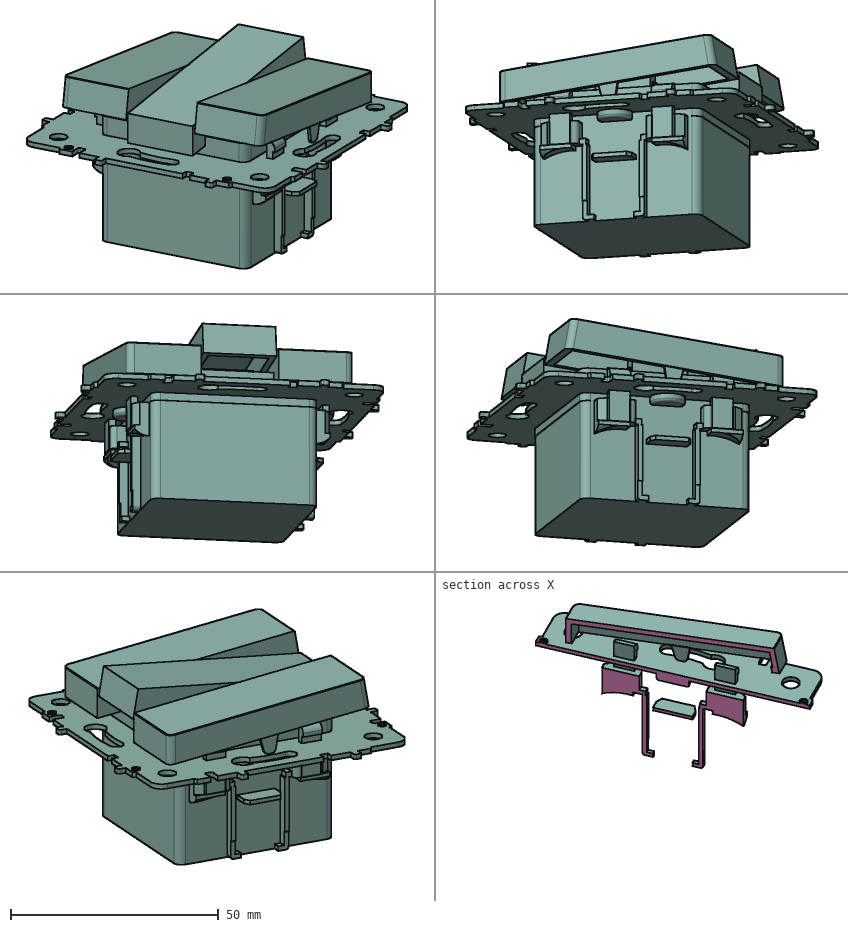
import cadquery as cq
import math

PLATE_SPAN = 74.4
PLATE_BOTTOM = 26.1
PLATE_TOP = 27.4
PLATE_CORE_HALF = 34.3
PLATE_CORNER_R = 3.0
EDGE_HALF = 35.1
EDGE_STRIP_HALF = 23.95
EDGE_STRIP_RAMP = 0.45
TAB_WIDTH = 2.0
TAB_OUTER = 19.0
TAB_INNER = 11.7
TAB_ROUND = 0.45
DEEP_NOTCH = 3.1
SHALLOW_NOTCH = 1.7

SLOT_RADIUS = 29.9
SLOT_WIDTH = 3.7
SLOT_END_ANGLE = 8.3
KEYHOLE_ANGLE = 15.2
KEYHOLE_R = 2.75
CORNER_HOLE_AT = 27.9
CORNER_HOLE_R = 2.15

SCREW_X = 21.95
SCREW_Y = 33.3
SCREW_R = 1.05
SCREW_HEIGHT = 0.2
SCREW_SLOT_WIDTH = 0.3

BOX_HALF_X = 20.4
BOX_HALF_Y = 21.3
BOX_TOP = 32.2
BOX_CORNER_R = 2.1
BOX_SEAM_Z = 24.2
BOX_SEAM_STEP = 0.1

ROCKER_LOW_Y = 27.45
ROCKER_LOW_BOTTOM = 29.2
ROCKER_LOW_TOP = 36.75
ROCKER_HIGH_TOP_Y = 26.05
ROCKER_HIGH_TOP = 42.5
ROCKER_HIGH_BOTTOM_Y = 27.4
ROCKER_HIGH_BOTTOM = 35.0
ROCKER_WALL = 1.55
HOLLOW_DROP = 2.3
ROCKER_CORNER_R = 1.7
ROCKER_EDGE = 0.15
MIDDLE_HALF_X = 9.0
SIDE_INNER_X = 9.5
SIDE_OUTER_X = 27.75
WALL_NOTCH_HALF_Y = 11.15
WALL_NOTCH_TOP = 34.3

POST_INNER_X = 9.1
POST_OUTER_X = 15.0
POST_HALF_Y = 6.9
POST_SHOULDER = 34.8
POST_TOP = 37.95
PIN_X = 12.35
PIN_WIDTH = 2.2
PIN_LEDGE = 33.5
PIN_REACH = 0.45
PIN_FOOT_REACH = 0.9
AXLE_TOP = 35.65
AXLE_HALF_Y = 7.3

TOOTH_OUTER_X = 27.15
TOOTH_THICKNESS = 0.7
TOOTH_TOP_HALF = 2.6
TOOTH_LOW_FLANK_Y = 1.35
TOOTH_HIGH_FLANK_Y = 1.85
TOOTH_TIP_Z = 28.3
TOOTH_SINK = 0.15

CLAW_Y = 12.95
LEG_WIDTH = 5.2
LEG_INNER_X = 22.7
LEG_OUTER_X = 24.4
LEG_BOTTOM = 18.6
HOOK_TOP = 31.85
HOOK_TIP_X = 25.0
HOOK_TIP_Z = 29.2
HOOK_BEND_Z = 30.2
CLAW_BLOCK_NEAR_Y = 8.55
CLAW_BLOCK_FAR_Y = 18.15
CLAW_BLOCK_TOP = 24.2
CLAW_BLOCK_OUTER_X = 24.25
CLAW_BLOCK_ROUND = 1.4
CLAW_CHAMFER_X = 1.5
CLAW_CHAMFER_Y = 2.1
CUP_NEAR_Y = 10.2
CUP_NEAR_BOTTOM = 17.55
CUP_FAR_BOTTOM = 16.0
CUP_OUTER_X = 24.0
CUP_BULGE_X = 22.8
CUP_BULGE_Z = 16.5

BOSS_X = 21.3
BOSS_R = 4.25
BOSS_BOTTOM = 24.2
BOSS_ROUND = 0.75

RIB_NEAR_Y = 6.6
RIB_FAR_Y = 7.8
RIB_HEAD_FAR_Y = 8.6
RIB_HEAD_NEAR_Y = 6.9
RIB_HEAD_BOTTOM = 18.6
RIB_TOP = 19.95
RIB_X = 22.6
RIB_STEP_X = 22.3
RIB_STEP_Z = 4.7
FOOT_NEAR_Y = 5.05
FOOT_HEIGHT = 1.2
FOOT_ROUND = 0.75

TERMINAL_HALF_Y = 5.05
TERMINAL_TIP_HALF_Y = 4.2
TERMINAL_X = 25.3
TERMINAL_CHAMFER_X = 23.65
TERMINAL_BOTTOM = 14.4
TERMINAL_TOP = 15.5

INSET = 0.75


def block(x0, x1, y0, y1, z0, z1):
    """Box given by its limits along each axis."""
    return cq.Workplane("XY").box(x1 - x0, y1 - y0, z1 - z0, centered=False).translate((x0, y0, z0))


def four_turns(shape):
    """The four copies of a shape, a quarter turn apart about Z."""
    return [shape.rotate((0, 0, 0), (0, 0, 1), 90 * turn) for turn in range(4)]


def mirrored(shape, plane):
    """A shape together with its mirror image."""
    return shape.union(shape.mirror(plane))


def edge_strip():
    """Raised strip along the +Y edge, with ramped ends."""
    return (
        cq.Workplane("XY", origin=(0, 0, PLATE_BOTTOM))
        .polyline([
            (-EDGE_STRIP_HALF, PLATE_CORE_HALF - INSET),
            (-EDGE_STRIP_HALF, PLATE_CORE_HALF),
            (-EDGE_STRIP_HALF + EDGE_STRIP_RAMP, EDGE_HALF),
            (EDGE_STRIP_HALF - EDGE_STRIP_RAMP, EDGE_HALF),
            (EDGE_STRIP_HALF, PLATE_CORE_HALF),
            (EDGE_STRIP_HALF, PLATE_CORE_HALF - INSET),
        ])
        .close()
        .extrude(PLATE_TOP - PLATE_BOTTOM)
    )


def edge_tab(x):
    """Rounded tab standing out of the +Y edge."""
    half = TAB_WIDTH / 2
    tab = block(x - half, x + half, EDGE_HALF - INSET, PLATE_SPAN / 2, PLATE_BOTTOM, PLATE_TOP)
    return tab.edges("|Z and >Y").fillet(TAB_ROUND)


def edge_notch(x, depth):
    """Cutter for a notch in the +Y edge."""
    half = TAB_WIDTH / 2
    return block(x - half, x + half, EDGE_HALF - depth, PLATE_SPAN / 2, PLATE_BOTTOM, PLATE_TOP)


def on_slot_circle(angle, radius=SLOT_RADIUS):
    """Point on a circle about Z, at an angle from +Y towards +X."""
    return radius * math.sin(math.radians(angle)), radius * math.cos(math.radians(angle))


def curved_slot():
    """Cutter for the curved slot near the +Y edge, ending in a wider round hole."""
    inner = SLOT_RADIUS - SLOT_WIDTH / 2
    outer = SLOT_RADIUS + SLOT_WIDTH / 2
    depth = PLATE_TOP - PLATE_BOTTOM
    base = cq.Workplane("XY", origin=(0, 0, PLATE_BOTTOM))
    arc_slot = (
        base.moveTo(*on_slot_circle(-SLOT_END_ANGLE, inner))
        .threePointArc((0, inner), on_slot_circle(KEYHOLE_ANGLE, inner))
        .lineTo(*on_slot_circle(KEYHOLE_ANGLE, outer))
        .threePointArc((0, outer), on_slot_circle(-SLOT_END_ANGLE, outer))
        .close()
        .extrude(depth)
    )
    round_end = base.center(*on_slot_circle(-SLOT_END_ANGLE)).circle(SLOT_WIDTH / 2).extrude(depth)
    keyhole = base.center(*on_slot_circle(KEYHOLE_ANGLE)).circle(KEYHOLE_R).extrude(depth)
    return arc_slot.union(round_end).union(keyhole)


def mounting_plate():
    half = PLATE_CORE_HALF
    plate = block(-half, half, -half, half, PLATE_BOTTOM, PLATE_TOP).edges("|Z").fillet(PLATE_CORNER_R)
    corner_hole = (
        cq.Workplane("XY", origin=(CORNER_HOLE_AT, CORNER_HOLE_AT, PLATE_BOTTOM))
        .circle(CORNER_HOLE_R)
        .extrude(PLATE_TOP - PLATE_BOTTOM)
    )
    for piece in (edge_strip(), edge_tab(-TAB_OUTER), edge_tab(TAB_INNER)):
        for copy in four_turns(piece):
            plate = plate.union(copy)
    shallow_notch = edge_notch(-TAB_INNER, SHALLOW_NOTCH)
    deep_notch = edge_notch(TAB_OUTER, DEEP_NOTCH).edges("|Z and <Y").fillet(TAB_ROUND)
    for cutter in (shallow_notch, deep_notch, curved_slot(), corner_hole):
        for copy in four_turns(cutter):
            plate = plate.cut(copy)
    return plate


def plate_screws():
    """Four small slotted screw heads on the plate."""
    spots = [(sx * SCREW_X, sy * SCREW_Y) for sx in (-1, 1) for sy in (-1, 1)]
    base = cq.Workplane("XY", origin=(0, 0, PLATE_TOP)).pushPoints(spots)
    heads = base.circle(SCREW_R).extrude(SCREW_HEIGHT)
    slots = base.rect(SCREW_SLOT_WIDTH, 2 * SCREW_R).extrude(SCREW_HEIGHT)
    return heads.cut(slots)


def box_part(half_y, z0, z1):
    """Round-cornered part of the box."""
    return block(-BOX_HALF_X, BOX_HALF_X, -half_y, half_y, z0, z1).edges("|Z").fillet(BOX_CORNER_R)


def switch_box():
    """Box body below the seam and slightly longer cover above it."""
    body = box_part(BOX_HALF_Y - BOX_SEAM_STEP, 0, BOX_SEAM_Z)
    return body.union(box_part(BOX_HALF_Y, BOX_SEAM_Z, BOX_TOP))


def rocker_profile(x):
    """Side outline of a rocker with its high end at -Y."""
    return (
        cq.Workplane("YZ", origin=(x, 0, 0))
        .polyline([
            (ROCKER_LOW_Y, ROCKER_LOW_BOTTOM),
            (ROCKER_LOW_Y, ROCKER_LOW_TOP),
            (-ROCKER_HIGH_TOP_Y, ROCKER_HIGH_TOP),
            (-ROCKER_HIGH_BOTTOM_Y, ROCKER_HIGH_BOTTOM),
        ])
        .close()
    )


def hollow(rocker, x0, x1):
    """Open a rocker from below, leaving its walls, and notch the walls above the box."""
    width = x1 - x0 - 2 * ROCKER_WALL
    core = rocker_profile(x0 + ROCKER_WALL).offset2D(-ROCKER_WALL, "intersection").extrude(width)
    notch = block(
        -POST_OUTER_X, POST_OUTER_X, -WALL_NOTCH_HALF_Y, WALL_NOTCH_HALF_Y, PLATE_TOP, WALL_NOTCH_TOP
    )
    opening = core.translate((0, 0, -HOLLOW_DROP))
    return rocker.cut(core).cut(opening).cut(notch)


def side_rocker():
    """Rocker on the +X side, with rounded outer corners and a softened top edge."""
    body = rocker_profile(SIDE_INNER_X).extrude(SIDE_OUTER_X - SIDE_INNER_X)
    body = body.faces(">X").edges("<Y or >Y").fillet(ROCKER_CORNER_R)
    body = body.faces(">Z").edges("not <X").chamfer(ROCKER_EDGE)
    return hollow(body, SIDE_INNER_X, SIDE_OUTER_X)


def middle_rocker():
    """Plain middle rocker, tilted the other way."""
    body = rocker_profile(-MIDDLE_HALF_X).extrude(2 * MIDDLE_HALF_X)
    return hollow(body, -MIDDLE_HALF_X, MIDDLE_HALF_X).mirror("XZ")


def side_pivot():
    """Post on the box that carries the +X rocker, with a stepped pin at each end."""
    shoulder = block(POST_INNER_X, POST_OUTER_X, -POST_HALF_Y, POST_HALF_Y, BOX_TOP - INSET, POST_SHOULDER)
    post = block(
        SIDE_INNER_X + ROCKER_WALL, POST_OUTER_X, -POST_HALF_Y, POST_HALF_Y, BOX_TOP, POST_TOP
    )
    pin_inner = PIN_X - PIN_WIDTH / 2
    pin_outer = PIN_X + PIN_WIDTH / 2
    pin_end = POST_HALF_Y + PIN_REACH
    foot_end = POST_HALF_Y + PIN_FOOT_REACH
    pin = block(pin_inner, pin_outer, -pin_end, pin_end, BOX_TOP, POST_SHOULDER)
    foot = block(pin_inner, pin_outer, -foot_end, foot_end, BOX_TOP - INSET, PIN_LEDGE)
    return shoulder.union(post).union(pin).union(foot)


def axle():
    """Bar across the gaps that joins the three rockers."""
    half_x = SIDE_INNER_X + ROCKER_WALL
    return block(-half_x, half_x, -AXLE_HALF_Y, AXLE_HALF_Y, WALL_NOTCH_TOP, AXLE_TOP)


def rocker_tooth():
    """Flat tapered tooth from the lower edge of the +X rocker to the plate."""
    top = (ROCKER_LOW_BOTTOM + ROCKER_HIGH_BOTTOM) / 2 + INSET
    return (
        cq.Workplane("YZ", origin=(TOOTH_OUTER_X - TOOTH_THICKNESS, 0, 0))
        .moveTo(-TOOTH_TOP_HALF, top)
        .lineTo(-TOOTH_HIGH_FLANK_Y, TOOTH_TIP_Z)
        .threePointArc((0, PLATE_TOP - TOOTH_SINK), (TOOTH_LOW_FLANK_Y, TOOTH_TIP_Z))
        .lineTo(TOOTH_TOP_HALF, top)
        .close()
        .extrude(TOOTH_THICKNESS)
    )


def claw():
    """Fixing claw at +X, +Y: hooked leg, guide block and curved cup below it."""
    hook_mid_x = LEG_INNER_X + (HOOK_TIP_X - LEG_INNER_X) * math.sqrt(0.5)
    hook_mid_z = HOOK_BEND_Z + (HOOK_TOP - HOOK_BEND_Z) * math.sqrt(0.5)
    leg = (
        cq.Workplane("XZ", origin=(0, CLAW_Y + LEG_WIDTH / 2, 0))
        .moveTo(LEG_INNER_X, LEG_BOTTOM)
        .lineTo(LEG_INNER_X, HOOK_TOP)
        .threePointArc((hook_mid_x, hook_mid_z), (HOOK_TIP_X, HOOK_BEND_Z))
        .lineTo(HOOK_TIP_X, HOOK_TIP_Z)
        .lineTo(LEG_OUTER_X, HOOK_TIP_Z)
        .lineTo(LEG_OUTER_X, LEG_BOTTOM)
        .close()
        .extrude(LEG_WIDTH)
    )
    inner_x = BOX_HALF_X - INSET
    guide = block(
        inner_x, CLAW_BLOCK_OUTER_X, CLAW_BLOCK_NEAR_Y, CLAW_BLOCK_FAR_Y, LEG_BOTTOM, CLAW_BLOCK_TOP
    )
    guide = guide.edges("|Z and >X and <Y").fillet(CLAW_BLOCK_ROUND)
    bevel = (
        cq.Workplane("XY", origin=(CLAW_BLOCK_OUTER_X, CLAW_BLOCK_FAR_Y, LEG_BOTTOM))
        .polyline([(0, 0), (-CLAW_CHAMFER_X, 0), (0, -CLAW_CHAMFER_Y)])
        .close()
        .extrude(CLAW_BLOCK_TOP - LEG_BOTTOM)
    )
    guide = guide.cut(bevel)
    cup_side = (
        cq.Workplane("XZ", origin=(0, CLAW_BLOCK_FAR_Y, 0))
        .moveTo(inner_x, LEG_BOTTOM)
        .lineTo(CUP_OUTER_X, LEG_BOTTOM)
        .lineTo(CUP_OUTER_X, CUP_NEAR_BOTTOM)
        .threePointArc((CUP_BULGE_X, CUP_BULGE_Z), (BOX_HALF_X, CUP_FAR_BOTTOM))
        .lineTo(inner_x, CUP_FAR_BOTTOM)
        .close()
        .extrude(CLAW_BLOCK_FAR_Y - CUP_NEAR_Y)
    )
    cup = (
        cq.Workplane("YZ", origin=(inner_x, 0, 0))
        .moveTo(CUP_NEAR_Y, LEG_BOTTOM)
        .lineTo(CUP_NEAR_Y, CUP_NEAR_BOTTOM)
        .threePointArc((CLAW_Y, CUP_NEAR_BOTTOM), (CLAW_BLOCK_FAR_Y, CUP_FAR_BOTTOM))
        .lineTo(CLAW_BLOCK_FAR_Y, LEG_BOTTOM)
        .close()
        .extrude(CUP_OUTER_X - inner_x)
        .intersect(cup_side)
    )
    return leg.union(guide).union(cup)


def boss():
    """Round boss under the plate with a rounded lower rim."""
    return (
        cq.Workplane("XY", origin=(BOSS_X, 0, BOSS_BOTTOM))
        .circle(BOSS_R)
        .extrude(PLATE_BOTTOM - BOSS_BOTTOM)
        .faces("<Z")
        .edges()
        .fillet(BOSS_ROUND)
    )


def rib():
    """Upright rib with a wider head and a foot turned inwards."""
    inner_x = BOX_HALF_X - INSET
    upper = block(inner_x, RIB_X, RIB_NEAR_Y, RIB_FAR_Y, RIB_STEP_Z, RIB_HEAD_BOTTOM)
    head = block(inner_x, RIB_X, RIB_HEAD_NEAR_Y, RIB_HEAD_FAR_Y, RIB_HEAD_BOTTOM, RIB_TOP)
    lower = block(inner_x, RIB_STEP_X, RIB_NEAR_Y, RIB_FAR_Y, 0, RIB_STEP_Z)
    foot = block(inner_x, RIB_STEP_X, FOOT_NEAR_Y, RIB_FAR_Y, 0, FOOT_HEIGHT)
    lower = lower.union(foot).edges("|X and >Y and <Z").fillet(FOOT_ROUND)
    return upper.union(head).union(lower)


def terminal():
    """Flat terminal tongue with chamfered corners."""
    inner_x = BOX_HALF_X - INSET
    return (
        cq.Workplane("XY", origin=(0, 0, TERMINAL_BOTTOM))
        .polyline([
            (inner_x, -TERMINAL_HALF_Y),
            (TERMINAL_CHAMFER_X, -TERMINAL_HALF_Y),
            (TERMINAL_X, -TERMINAL_TIP_HALF_Y),
            (TERMINAL_X, TERMINAL_TIP_HALF_Y),
            (TERMINAL_CHAMFER_X, TERMINAL_HALF_Y),
            (inner_x, TERMINAL_HALF_Y),
        ])
        .close()
        .extrude(TERMINAL_TOP - TERMINAL_BOTTOM)
    )


result = switch_box().union(mounting_plate()).union(plate_screws())
result = result.union(middle_rocker()).union(axle())
for paired_feature in (side_rocker(), side_pivot(), rocker_tooth(), boss(), terminal()):
    result = result.union(mirrored(paired_feature, "YZ"))
for corner_feature in (claw(), rib()):
    result = result.union(mirrored(mirrored(corner_feature, "XZ"), "YZ"))